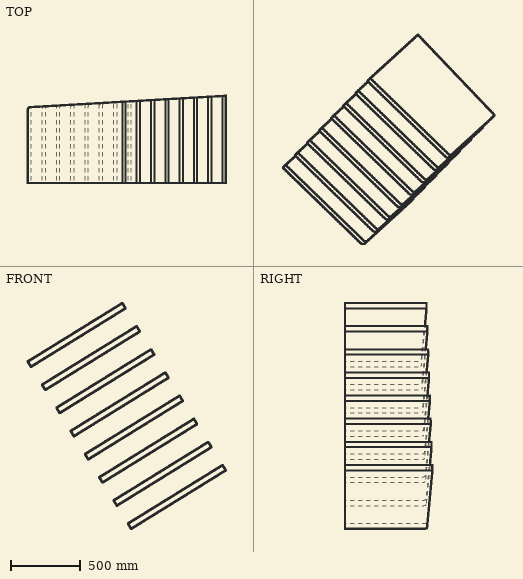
import cadquery as cq
import math

tread_count = 8
tread_length = 798.0
tread_thickness = 45.0
tread_pitch = 195.0
tilt = 31.718
stack_width = 627.58
taper_angle = 3.33
corner_radius = 23.0

cos_tilt = math.cos(math.radians(tilt))
sin_tilt = math.sin(math.radians(tilt))
stack_height = (tread_count - 1) * tread_pitch + tread_thickness
far_x = tread_length * cos_tilt + stack_height * sin_tilt
top_z = tread_length * sin_tilt
bottom_z = -stack_height * cos_tilt
taper_slope = math.tan(math.radians(taper_angle))


def tapered_width(x):
    """Y width of the stack at a given X, bounded by one vertical plane."""
    return stack_width - (far_x - x) * taper_slope


def tread_point(along, depth):
    """X and Z of a point measured along the slope and down the tread normal."""
    x = along * cos_tilt + depth * sin_tilt
    z = along * sin_tilt - depth * cos_tilt
    return x, z


def make_envelope():
    """Upright block around all the treads, with the tapered +Y side."""
    plan = [(0, 0), (far_x, 0), (far_x, stack_width), (0, tapered_width(0))]
    base = cq.Workplane("XY", origin=(0, 0, bottom_z))
    return base.polyline(plan).close().extrude(top_z - bottom_z)


def make_tread(index, envelope):
    """Tilted slab, counted from the top, trimmed by the shared tapered side."""
    upper_depth = index * tread_pitch
    lower_depth = upper_depth + tread_thickness
    profile = [
        tread_point(0, upper_depth),
        tread_point(tread_length, upper_depth),
        tread_point(tread_length, lower_depth),
        tread_point(0, lower_depth),
    ]
    slab = cq.Workplane("XZ").polyline(profile).close().extrude(-stack_width)
    tread = slab.intersect(envelope)

    corner_x, corner_z = tread_point(0, upper_depth + tread_thickness / 2)
    corner = (corner_x, tapered_width(corner_x), corner_z)
    rounded_edge = tread.edges(cq.selectors.NearestToPointSelector(corner))
    return rounded_edge.fillet(corner_radius).solids()


stack_envelope = make_envelope()
treads = [make_tread(index, stack_envelope) for index in range(tread_count)]

result = cq.Compound.makeCompound([tread.val() for tread in treads])